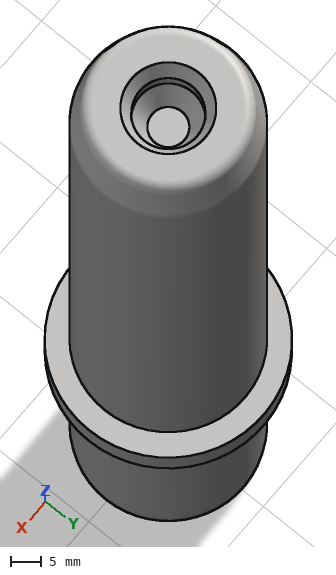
import cadquery as cq
import math

total_length = 180.0
shaft_radius = 16.0

collar_radius = 20.0
collar_bottom = 45.0
collar_height = 6.0
collar_top = collar_bottom + collar_height

relief_size = 1.0

foot_taper_length = 4.0
foot_taper_angle = 5.0
foot_round = 2.0

lead_in_length = 8.0
lead_in_angle = 15.0
lead_in_blend = 4.0
tip_round = 2.0

mouth_radius = 7.75
bore_radius = 6.0
floor_radius = 3.4
mouth_half_angle = 30.0
bore_length = 3.0
seat_half_angle = 30.0


def taper_offset(length, angle):
    """Change of radius over an axial length at an angle from the axis."""
    return length * math.tan(math.radians(angle))


def cone_depth(radius_change, half_angle):
    """Axial length of a cone with the given change of radius and half angle."""
    return radius_change / math.tan(math.radians(half_angle))


def revolve_profile(points):
    """Revolve a closed (radius, height) outline about the Z axis."""
    return cq.Workplane("XZ").polyline(points).close().revolve(360, (0, 0, 0), (0, 1, 0))


def rim(height):
    """Selector for the circular edges lying at one height."""
    tolerance = 0.01
    reach = collar_radius
    return cq.selectors.BoxSelector(
        (-reach, -reach, height - tolerance),
        (reach, reach, height + tolerance),
    )


def make_shaft():
    """Shaft with collar, reliefs, tapered foot and tapered lead-in."""
    foot_end_radius = shaft_radius - taper_offset(foot_taper_length, foot_taper_angle)
    tip_radius = shaft_radius - taper_offset(lead_in_length, lead_in_angle)
    relief_radius = shaft_radius - relief_size
    lead_in_start = total_length - lead_in_length
    shaft = revolve_profile([
        (0, 0),
        (foot_end_radius, 0),
        (shaft_radius, foot_taper_length),
        (shaft_radius, collar_bottom - relief_size),
        (relief_radius, collar_bottom),
        (collar_radius, collar_bottom),
        (collar_radius, collar_top),
        (relief_radius, collar_top),
        (shaft_radius, collar_top + relief_size),
        (shaft_radius, lead_in_start),
        (tip_radius, total_length),
        (0, total_length),
    ])
    shaft = shaft.edges(rim(0)).fillet(foot_round)
    shaft = shaft.edges(rim(total_length)).fillet(tip_round)
    return shaft.edges(rim(lead_in_start)).fillet(lead_in_blend)


def make_centre_hole():
    """Cutter for the stepped centre hole in the upper end."""
    bore_top = total_length - cone_depth(mouth_radius - bore_radius, mouth_half_angle)
    bore_bottom = bore_top - bore_length
    floor_height = bore_bottom - cone_depth(bore_radius - floor_radius, seat_half_angle)
    return revolve_profile([
        (0, total_length),
        (mouth_radius, total_length),
        (bore_radius, bore_top),
        (bore_radius, bore_bottom),
        (floor_radius, floor_height),
        (0, floor_height),
    ])


result = make_shaft().cut(make_centre_hole())